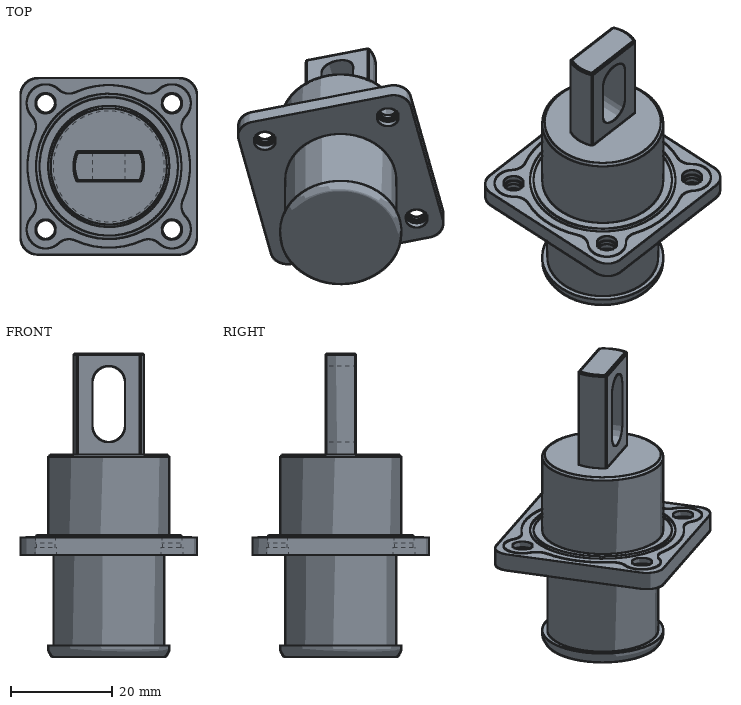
import cadquery as cq
import math

total_height = 60.1
tab_height = 20.0
body_top = total_height - tab_height
plate_bottom = 20.2
plate_thickness = 3.5
plate_top = plate_bottom + plate_thickness
pad_height = 0.1
pad_top = plate_top + pad_height

plate_side = 35.0
plate_corner_radius = 3.5

pad_disc_radius = 16.1
hole_spacing = 25.0
lobe_radius = 3.75
pad_blend_radius = 3.0

hole_mouth_diameter = 4.0
hole_neck_diameter = 3.7
hole_lower_diameter = 4.3
mouth_depth = 1.2
neck_length = 0.9
neck_top = pad_top - mouth_depth
neck_bottom = neck_top - neck_length

bead_outer_diameter = 28.8
bead_radius = 0.35
bead_centre_radius = bead_outer_diameter / 2 - bead_radius

body_diameter = 24.0
body_chamfer = 0.5

tube_diameter = 22.0
rim_diameter = 24.0
rim_height = 2.35
rim_cone_height = 1.28
rim_cone_angle = 30.0
rim_shoulder_radius = 1.0
rim_bottom_radius = 0.7

tab_diameter = 14.0
tab_thickness = 6.0
tab_side_chamfer = 0.2
tab_top_chamfer = 0.3
slot_width = 6.4
slot_length = 15.0


def cylinder(diameter, bottom, top):
    """Upright cylinder on the Z axis."""
    return cq.Workplane("XY").workplane(offset=bottom).circle(diameter / 2).extrude(top - bottom)


def hole_positions(workplane):
    """Put the four screw-hole centres on the stack."""
    return workplane.rect(hole_spacing, hole_spacing, forConstruction=True).vertices()


def make_plate():
    plate = cq.Workplane("XY").workplane(offset=plate_bottom).rect(plate_side, plate_side)
    return plate.extrude(plate_thickness).edges("|Z").fillet(plate_corner_radius)


def make_pad():
    """Disc and lobes, blended where their rims cross."""
    base = cq.Workplane("XY").workplane(offset=plate_top)
    disc = base.circle(pad_disc_radius).extrude(pad_height)
    lobes = hole_positions(base).circle(lobe_radius).extrude(pad_height)
    hole_radius = math.hypot(hole_spacing, hole_spacing) / 2
    squares = pad_disc_radius**2 + hole_radius**2 - lobe_radius**2
    crossing_angle = math.degrees(math.acos(squares / (2 * pad_disc_radius * hole_radius)))
    pad = disc.union(lobes)
    for diagonal in (45, 135, 225, 315):
        for angle in (diagonal - crossing_angle, diagonal + crossing_angle):
            x = pad_disc_radius * math.cos(math.radians(angle))
            y = pad_disc_radius * math.sin(math.radians(angle))
            crossing = cq.selectors.NearestToPointSelector((x, y, plate_top + pad_height / 2))
            pad = pad.edges("|Z").edges(crossing).fillet(pad_blend_radius)
    return pad


def make_bead():
    """Ring whose lower half is sunk into the pad and plate."""
    profile = cq.Workplane("XZ").center(bead_centre_radius, pad_top).circle(bead_radius)
    return profile.revolve(360, (-bead_centre_radius, 0, 0), (-bead_centre_radius, 1, 0))


def make_body():
    return cylinder(body_diameter, plate_top, body_top).faces(">Z").edges().chamfer(body_chamfer)


def make_tube():
    return cylinder(tube_diameter, rim_height, plate_bottom)


def make_rim():
    """Short collar whose lower side tapers in, with its two lower corners rounded."""
    outer = rim_diameter / 2
    bottom = outer - rim_cone_height * math.tan(math.radians(rim_cone_angle))
    points = [(0, 0), (bottom, 0), (outer, rim_cone_height), (outer, rim_height), (0, rim_height)]
    rim = cq.Workplane("XZ").polyline(points).close().revolve(360, (0, 0, 0), (0, 1, 0))
    rim = rim.faces("<Z").edges().fillet(rim_bottom_radius)
    shoulder = cq.selectors.NearestToPointSelector((0, 0, rim_cone_height))
    return rim.edges("%CIRCLE").edges(shoulder).fillet(rim_shoulder_radius)


def make_tab():
    bar = cylinder(tab_diameter, body_top, total_height)
    slab = cq.Workplane("XY").workplane(offset=body_top).rect(tab_diameter, tab_thickness)
    bar = bar.intersect(slab.extrude(tab_height))
    bar = bar.edges("|Z").chamfer(tab_side_chamfer)
    bar = bar.faces(">Z").edges().chamfer(tab_top_chamfer)
    slot_centre = body_top + tab_height / 2
    slot = cq.Workplane("XZ").center(0, slot_centre).slot2D(slot_length, slot_width, 90)
    return bar.cut(slot.extrude(tab_thickness / 2, both=True))


def hole_cutters(diameter, bottom, top):
    """Four upright cylinders at the screw-hole centres."""
    base = cq.Workplane("XY").workplane(offset=bottom)
    return hole_positions(base).circle(diameter / 2).extrude(top - bottom)


def make_screw_holes():
    mouths = hole_cutters(hole_mouth_diameter, neck_top, pad_top)
    necks = hole_cutters(hole_neck_diameter, neck_bottom, neck_top)
    lower_ends = hole_cutters(hole_lower_diameter, plate_bottom, neck_bottom)
    return mouths.union(necks).union(lower_ends)


result = make_plate().union(make_pad()).union(make_bead()).union(make_body())
result = result.union(make_tube()).union(make_rim()).union(make_tab())
result = result.cut(make_screw_holes())